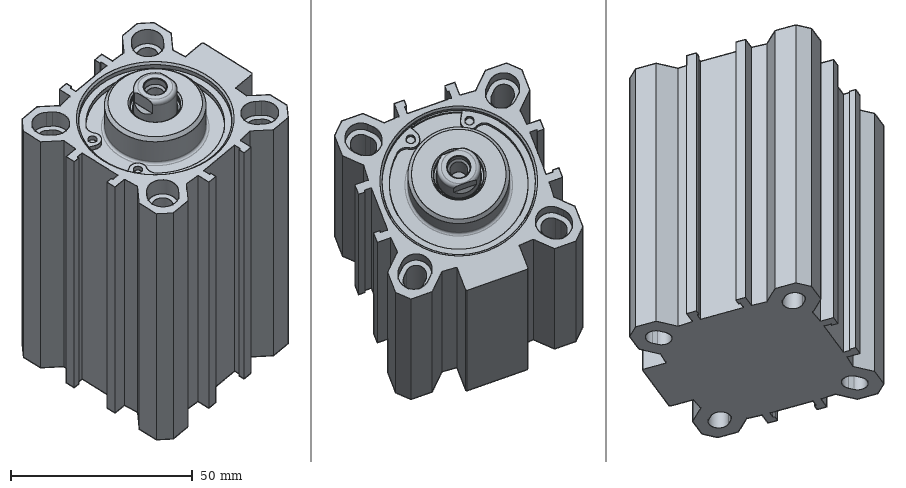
import cadquery as cq
import math


total_height = 102.0
barrel_height = 89.5
boss_top = 95.6
ring_top = barrel_height - 2.0
ring_thickness = 1.5
flange_top = ring_top - ring_thickness
flange_thickness = 10.0
recess_floor = flange_top - flange_thickness

barrel_width = 55.0
half_width = barrel_width / 2
corner_chamfer = 3.3
wall = 22.95
pad_wall = 23.25
pocket_half_width = 13.4
pocket_mouth_half_width = pocket_half_width + half_width - wall
rail_outer = 8.9
pad_half_width = rail_outer
rail_neck_inner = 6.5
rail_lip_inner = 5.95
rail_height = 27.2
rail_lip_thickness = 1.9
tab_half_width = 9.15
tab_height = 30.5
tab_chamfer = 0.3

recess_diameter = 42.2
recess_mouth_chamfer = 0.6
groove_diameter = 44.7
bolt_offset = 20.4
bolt_diameter = 5.8
counterbore_diameter = 8.8
counterbore_depth = 5.6
bolt_slot_travel = 1.6

flange_edge_chamfer = 0.25
boss_diameter = 28.0
boss_chamfer = 1.0
boss_root_fillet = 0.8
mouth_diameter = 14.0
mouth_chamfer = 0.5
mouth_depth = 1.2
seal_diameter = 13.7
seal_depth = 2.0
wiper_diameter = 12.54
wiper_depth = 3.0

ring_inner_radius = 19.1
ring_outer_radius = groove_diameter / 2
ear_distance = 18.36
ear_radius = 2.5
ear_hole_diameter = 2.5
ear_angle = 27.65
ear_blend_radius = 3.0
ring_turn = -1.9

rod_diameter = 12.0
rod_top_fillet = 1.2
flats_width = 10.0
flats_length = 4.5
thread_mouth_diameter = 6.25
thread_mouth_chamfer = 0.2
thread_mouth_depth = 2.3
thread_core_diameter = 4.92
thread_depth = 12.0
drill_tip_half_angle = 80.0


def cylinder(diameter, bottom, top):
    return cq.Workplane("XY").workplane(offset=bottom).circle(diameter / 2).extrude(top - bottom)


def barrel_prism(points):
    return cq.Workplane("XY").polyline(points).close().extrude(barrel_height)


def side_pocket():
    """Trapezoid taken out of the -Y side between two corner posts."""
    return barrel_prism([
        (-pocket_mouth_half_width, -half_width),
        (pocket_mouth_half_width, -half_width),
        (pocket_half_width, -wall),
        (-pocket_half_width, -wall),
    ])


def side_pad():
    """Slightly raised middle of the -Y wall, sloping down to the corner posts."""
    return barrel_prism([
        (-pad_half_width, -pad_wall),
        (pad_half_width, -pad_wall),
        (pocket_half_width, -wall),
        (-pocket_half_width, -wall),
    ])


def side_rails():
    """Two hooked rails of the sensor slot on the -Y side."""
    lip = rail_height - rail_lip_thickness
    rail = barrel_prism([
        (rail_outer, -wall),
        (rail_outer, -rail_height),
        (rail_lip_inner, -rail_height),
        (rail_lip_inner, -lip),
        (rail_neck_inner, -lip),
        (rail_neck_inner, -wall),
    ])
    return rail.union(rail.mirror("YZ"))


def port_tab():
    """Solid rib on the +Y side."""
    length = tab_height - wall
    tab = (
        cq.Workplane("XY")
        .center(0, wall + length / 2)
        .rect(2 * tab_half_width, length)
        .extrude(barrel_height)
    )
    return tab.edges("|Z and >Y").chamfer(tab_chamfer)


def bolt_hole(angle):
    """Counterbored through slot in one corner post, long in the diagonal direction."""
    distance = bolt_offset * math.sqrt(2)
    through = (
        cq.Workplane("XY")
        .center(distance, 0)
        .slot2D(bolt_diameter + bolt_slot_travel, bolt_diameter)
        .extrude(barrel_height)
    )
    counterbore = (
        cq.Workplane("XY")
        .workplane(offset=barrel_height - counterbore_depth)
        .center(distance, 0)
        .slot2D(counterbore_diameter + bolt_slot_travel, counterbore_diameter)
        .extrude(counterbore_depth)
    )
    return through.union(counterbore).rotate((0, 0, 0), (0, 0, 1), angle)


def recess_mouth():
    """Conical lead-in at the top of the cover recess, as a revolved profile."""
    radius = recess_diameter / 2
    cone_bottom = barrel_height - recess_mouth_chamfer
    return (
        cq.Workplane("XZ")
        .moveTo(0, cone_bottom)
        .lineTo(radius, cone_bottom)
        .lineTo(radius + recess_mouth_chamfer, barrel_height)
        .lineTo(0, barrel_height)
        .close()
        .revolve(360, (0, 0, 0), (0, 1, 0))
    )


def make_barrel():
    body = cq.Workplane("XY").rect(barrel_width, barrel_width).extrude(barrel_height)
    body = body.edges("|Z").chamfer(corner_chamfer)
    for quarter in range(4):
        angle = 90 * quarter
        body = body.cut(side_pocket().rotate((0, 0, 0), (0, 0, 1), angle))
        body = body.union(side_pad().rotate((0, 0, 0), (0, 0, 1), angle))
        body = body.cut(bolt_hole(angle + 45))
    for angle in (-90, 0, 90):
        body = body.union(side_rails().rotate((0, 0, 0), (0, 0, 1), angle))
    body = body.union(port_tab())
    body = body.cut(cylinder(recess_diameter, recess_floor, barrel_height))
    body = body.cut(recess_mouth())
    return body.cut(cylinder(groove_diameter, flange_top, ring_top))


def make_cover():
    flange = cylinder(recess_diameter, recess_floor, flange_top)
    flange = flange.faces(">Z").edges().chamfer(flange_edge_chamfer)
    boss = cylinder(boss_diameter, flange_top, boss_top).faces(">Z").edges().chamfer(boss_chamfer)
    cover = flange.union(boss)
    flange_face = cover.faces("|Z").faces(">Z[-2]")
    cover = flange_face.edges(cq.selectors.RadiusNthSelector(0)).fillet(boss_root_fillet)
    cover = cover.cut(cylinder(rod_diameter, recess_floor, boss_top))
    cover = cover.cut(cylinder(wiper_diameter, boss_top - wiper_depth, boss_top))
    cover = cover.cut(cylinder(seal_diameter, boss_top - seal_depth, boss_top))
    cover = cover.cut(cylinder(mouth_diameter, boss_top - mouth_depth, boss_top))
    return cover.faces(">Z").edges(cq.selectors.RadiusNthSelector(0)).chamfer(mouth_chamfer)


def around(radius, angle):
    """Point at a radius, with the angle in degrees counted from -Y towards +X."""
    return (radius * math.sin(math.radians(angle)), -radius * math.cos(math.radians(angle)))


def mirrored(point):
    return (-point[0], point[1])


def make_snap_ring():
    """Open ring with an eared eye at each side of its gap; the gap faces -Y."""
    ear = around(ear_distance, ear_angle)
    towards_gap = around(ear_radius, ear_angle - 90)
    ear_side = (ear[0] + towards_gap[0], ear[1] + towards_gap[1])
    tip_angle = ear_angle - math.degrees(math.asin(ear_radius / ring_outer_radius))
    tip = around(ring_outer_radius, tip_angle)

    blend_distance = ring_inner_radius - ear_blend_radius
    reach = ear_radius + ear_blend_radius
    cosine = (ear_distance**2 + blend_distance**2 - reach**2) / (2 * ear_distance * blend_distance)
    blend_angle = ear_angle + math.degrees(math.acos(cosine))
    blend = around(blend_distance, blend_angle)
    ring_touch = around(ring_inner_radius, blend_angle)
    to_blend = ((blend[0] - ear[0]) / reach, (blend[1] - ear[1]) / reach)
    ear_touch = (ear[0] + ear_radius * to_blend[0], ear[1] + ear_radius * to_blend[1])
    ear_top = around(ear_distance - ear_radius, ear_angle)
    chord = (ring_touch[0] + ear_touch[0] - 2 * blend[0], ring_touch[1] + ear_touch[1] - 2 * blend[1])
    stretch = ear_blend_radius / math.hypot(*chord)
    blend_middle = (blend[0] + chord[0] * stretch, blend[1] + chord[1] * stretch)

    ring = (
        cq.Workplane("XY")
        .workplane(offset=flange_top)
        .moveTo(*tip)
        .threePointArc((0, ring_outer_radius), mirrored(tip))
        .lineTo(*mirrored(ear_side))
        .threePointArc(mirrored(ear_top), mirrored(ear_touch))
        .threePointArc(mirrored(blend_middle), mirrored(ring_touch))
        .threePointArc((0, ring_inner_radius), ring_touch)
        .threePointArc(blend_middle, ear_touch)
        .threePointArc(ear_top, ear_side)
        .close()
        .extrude(ring_thickness)
    )
    eyes = (
        cq.Workplane("XY")
        .workplane(offset=flange_top)
        .pushPoints([ear, mirrored(ear)])
        .circle(ear_hole_diameter / 2)
        .extrude(ring_thickness)
    )
    return ring.cut(eyes).rotate((0, 0, 0), (0, 0, 1), ring_turn)


def wrench_flat():
    """Cut for the flat on the -Y side, running out at 45 degrees at its lower end."""
    run_out = (rod_diameter - flats_width) / 2
    flat_bottom = total_height - flats_length
    return (
        cq.Workplane("YZ")
        .moveTo(-flats_width / 2, total_height)
        .lineTo(-flats_width / 2, flat_bottom)
        .lineTo(-flats_width / 2 - run_out, flat_bottom - run_out)
        .lineTo(-flats_width / 2 - run_out, total_height)
        .close()
        .extrude(rod_diameter / 2, both=True)
    )


def thread_hole():
    """Threaded hole with a wider mouth, a conical step and a drill tip, as a revolved profile."""
    mouth = thread_mouth_diameter / 2
    core = thread_core_diameter / 2
    step_height = total_height - thread_mouth_depth
    core_bottom = total_height - thread_depth
    tip_length = core / math.tan(math.radians(drill_tip_half_angle))
    return (
        cq.Workplane("XZ")
        .moveTo(0, total_height)
        .lineTo(mouth + thread_mouth_chamfer, total_height)
        .lineTo(mouth, total_height - thread_mouth_chamfer)
        .lineTo(mouth, step_height)
        .lineTo(core, step_height - (mouth - core))
        .lineTo(core, core_bottom)
        .lineTo(0, core_bottom - tip_length)
        .close()
        .revolve(360, (0, 0, 0), (0, 1, 0))
    )


def make_rod():
    rod = cylinder(rod_diameter, recess_floor, total_height)
    rod = rod.faces(">Z").edges().fillet(rod_top_fillet)
    rod = rod.cut(wrench_flat()).cut(wrench_flat().mirror("XZ"))
    return rod.cut(thread_hole())


barrel = make_barrel()
cover = make_cover()
snap_ring = make_snap_ring()
rod = make_rod()

result = cq.Compound.makeCompound([barrel.val(), cover.val(), snap_ring.val(), rod.val()])